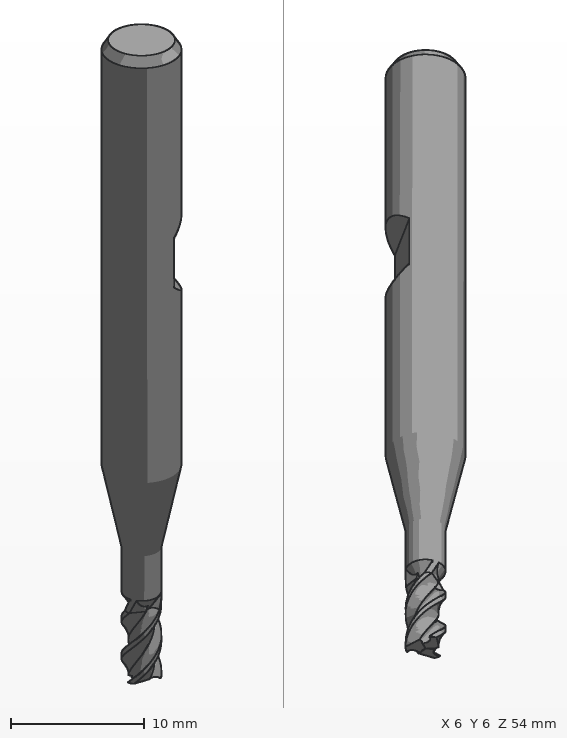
import cadquery as cq
import math


total_length = 54.0
shank_length = 36.0
shank_radius = 3.0
neck_top = 11.0
cutter_radius = 1.5
cutter_length = 6.0
shank_bottom = total_length - shank_length

end_chamfer_width = 0.5
end_chamfer_height = 0.8

flat_height = 1.8
flat_length = 4.2
flat_distance_from_top = 18.0
flat_center = total_length - flat_distance_from_top

flute_count = 3
flute_pitch_angle = 360.0 / flute_count
helix_angle = 45.0
core_radius = 0.7
land_angle = 20.0
relief_angle = 78.0
relief_radius = 1.0
gullet_angle = 100.0
first_tooth_angle = 176.0
twist_per_mm = math.degrees(math.tan(math.radians(helix_angle)) / cutter_radius)

runout_length = 1.2
runout_top = cutter_length + runout_length
runout_twist_per_mm = twist_per_mm / 2

end_relief_angle = 10.0
corner_chamfer = 0.08

clearance = 0.5


def polar(radius, angle):
    """Point at a given radius and angle in degrees."""
    return (radius * math.cos(math.radians(angle)), radius * math.sin(math.radians(angle)))


def fluted_section(height):
    """Cross-section of the fluted cutter at a height, as a closed wire on a workplane."""
    start = first_tooth_angle + twist_per_mm * height
    section = cq.Workplane("XY").workplane(offset=height).moveTo(*polar(cutter_radius, start))
    for tooth in range(flute_count):
        edge = start + tooth * flute_pitch_angle
        next_edge = edge + flute_pitch_angle
        section = section.threePointArc(
            polar(cutter_radius, edge + land_angle / 2), polar(cutter_radius, edge + land_angle)
        )
        section = section.lineTo(*polar(relief_radius, edge + relief_angle))
        gullet_bottom = polar(core_radius, edge + gullet_angle)
        section = section.threePointArc(gullet_bottom, polar(cutter_radius, next_edge))
    return section.close()


def end_relief(tooth):
    """Wedge that lifts the end face of one tooth away from its cutting edge."""
    reach = cutter_radius + clearance
    rise = reach * math.tan(math.radians(end_relief_angle))
    wedge = cq.Workplane("YZ").polyline([(0, 0), (reach, rise), (reach, -rise), (0, -rise)]).close()
    edge = first_tooth_angle + tooth * flute_pitch_angle
    return wedge.extrude(reach).rotate((0, 0, 0), (0, 0, 1), edge)


def make_cutter():
    """Helical cutting head with a chamfered corner and relieved end teeth."""
    envelope = cq.Workplane("XY").circle(cutter_radius).extrude(cutter_length)
    envelope = envelope.faces("<Z").chamfer(corner_chamfer)
    cutter = fluted_section(0).twistExtrude(cutter_length, twist_per_mm * cutter_length).intersect(envelope)
    for tooth in range(flute_count):
        cutter = cutter.cut(end_relief(tooth))
    return cutter


def flute_runout():
    """Bottom of the neck, where each flute steepens and rises out to the neck surface."""
    cone = cq.Workplane("XZ").polyline([
        (0, cutter_length),
        (core_radius, cutter_length),
        (cutter_radius, runout_top),
        (0, runout_top),
    ]).close().revolve(360, (0, 0), (0, 1))
    teeth = fluted_section(cutter_length).twistExtrude(runout_length, runout_twist_per_mm * runout_length)
    return teeth.union(cone)


def clamping_flat():
    """Trapezoidal tool for the clamping flat, widening outward at 45 degrees."""
    outer = shank_radius + clearance
    half_floor = flat_length / 2
    half_mouth = half_floor + outer - flat_height
    profile = cq.Workplane("YZ").polyline([
        (flat_height, flat_center - half_floor),
        (outer, flat_center - half_mouth),
        (outer, flat_center + half_mouth),
        (flat_height, flat_center + half_floor),
    ]).close()
    return profile.extrude(outer, both=True)


def make_shank():
    """Chamfered shank, taper and neck, with the flute run-out at the bottom."""
    body = cq.Workplane("XZ").polyline([
        (0, runout_top),
        (cutter_radius, runout_top),
        (cutter_radius, neck_top),
        (shank_radius, shank_bottom),
        (shank_radius, total_length - end_chamfer_height),
        (shank_radius - end_chamfer_width, total_length),
        (0, total_length),
    ]).close().revolve(360, (0, 0), (0, 1))
    return body.cut(clamping_flat()).union(flute_runout())


shank = make_shank()
cutter = make_cutter()

result = cq.Compound.makeCompound([shank.solids().val(), cutter.solids().val()])